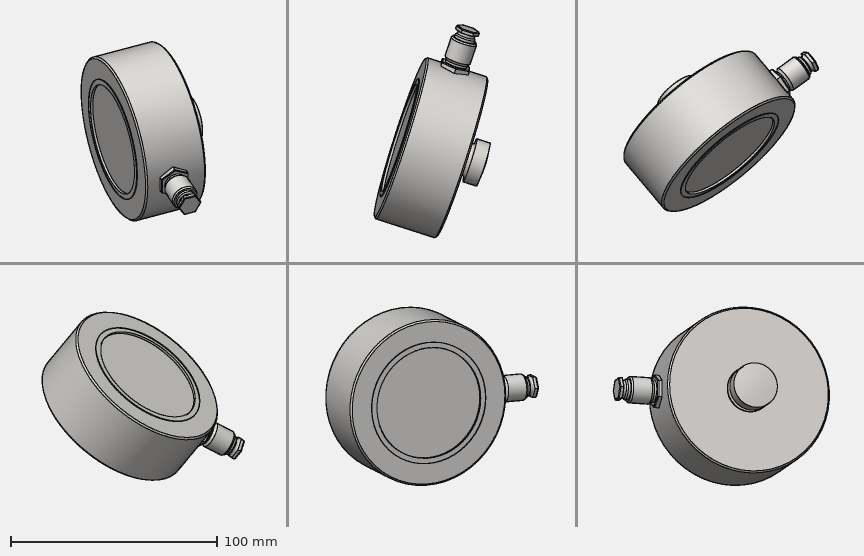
import cadquery as cq
import math

housing_radius = 41.0
housing_front = 0.4
housing_back = 31.9
housing_chamfer = 0.8

ring_outer_radius = 30.0
ring_inner_radius = 27.3
membrane_depth = 1.2

button_radius = 11.0
boss_back = 32.6
button_front = 36.0
button_rim = 42.8
button_apex = 43.7
neck_radius = 7.9

overall_length = 102.8
gland_axis_y = 14.7
gland_end = overall_length - housing_radius
nut_flats = 14.0
nut_end = 43.1
collar_radius = 5.4
collar_end = 44.2
shoulder_radius = 5.9
shoulder_end = 44.8
sleeve_radius = 6.5
sleeve_start = 45.5
sleeve_straight_end = 55.1
sleeve_end = 56.0
sleeve_chamfer = 0.5
spigot_radius = 5.0
spigot_end = 57.4
groove_radius = 4.3
groove_start = 58.1
cap_flats = 10.1
cap_start = 59.7
cap_fillet = 0.5
hexagon_chamfer_length = 0.5
hexagon_chamfer_depth = 0.3


def make_housing():
    """Revolve the housing and its load button, from the membrane centre to the dome apex."""
    neck_middle = (boss_back + button_front) / 2
    groove_edge = neck_radius + (button_front - boss_back) / 2
    profile = (
        cq.Workplane("XY")
        .moveTo(0, membrane_depth)
        .lineTo(ring_inner_radius, membrane_depth)
        .lineTo(ring_inner_radius, 0)
        .lineTo(ring_outer_radius, 0)
        .lineTo(ring_outer_radius, housing_front)
        .lineTo(housing_radius - housing_chamfer, housing_front)
        .lineTo(housing_radius, housing_front + housing_chamfer)
        .lineTo(housing_radius, housing_back - housing_chamfer)
        .lineTo(housing_radius - housing_chamfer, housing_back)
        .lineTo(button_radius, housing_back)
        .lineTo(button_radius, boss_back)
        .lineTo(groove_edge, boss_back)
        .threePointArc((neck_radius, neck_middle), (groove_edge, button_front))
        .lineTo(button_radius, button_front)
        .lineTo(button_radius, button_rim)
    )
    dome_height = button_apex - button_rim
    dome_radius = (button_radius**2 + dome_height**2) / (2 * dome_height)
    profile = profile.radiusArc((0, button_apex), -dome_radius).close()
    return profile.revolve(360, (0, 0), (0, 1))


def make_hexagon(flats, start, end, turn):
    """Hexagon along X, chamfered on its outer end; at turn 0 its corners point along Y."""
    corners = flats / math.cos(math.pi / 6)
    return (
        cq.Workplane("YZ")
        .polygon(6, corners)
        .extrude(end - start)
        .faces(">X")
        .chamfer(hexagon_chamfer_length, hexagon_chamfer_depth)
        .rotate((0, 0, 0), (1, 0, 0), turn)
        .translate((start, gland_axis_y, 0))
    )


def make_gland_core():
    """Turned middle of the gland, from inside the nut to the cap."""
    half_profile = (
        cq.Workplane("XY", origin=(0, gland_axis_y, 0))
        .moveTo(nut_end, 0)
        .lineTo(nut_end, collar_radius)
        .lineTo(collar_end, collar_radius)
        .lineTo(shoulder_end, shoulder_radius)
        .lineTo(sleeve_start, sleeve_radius)
        .lineTo(sleeve_straight_end, sleeve_radius)
        .lineTo(sleeve_end, sleeve_radius - sleeve_chamfer)
        .lineTo(sleeve_end, spigot_radius)
        .lineTo(spigot_end, spigot_radius)
        .lineTo(groove_start, groove_radius)
        .lineTo(cap_start - cap_fillet, groove_radius)
        .radiusArc((cap_start, groove_radius + cap_fillet), -cap_fillet)
        .lineTo(cap_start, 0)
        .close()
    )
    return half_profile.revolve(360, (0, 0), (1, 0))


def make_gland(housing):
    """Join nut, core and cap; the nut's seat follows the round wall of the housing."""
    nut_start = housing_radius - nut_flats / 4
    nut = make_hexagon(nut_flats, nut_start, nut_end, 90)
    cap = make_hexagon(cap_flats, cap_start, gland_end, 0)
    return nut.union(make_gland_core()).union(cap).cut(housing)


housing = make_housing()
gland = make_gland(housing)
result = cq.Compound.makeCompound([housing.val(), *gland.solids().vals()])